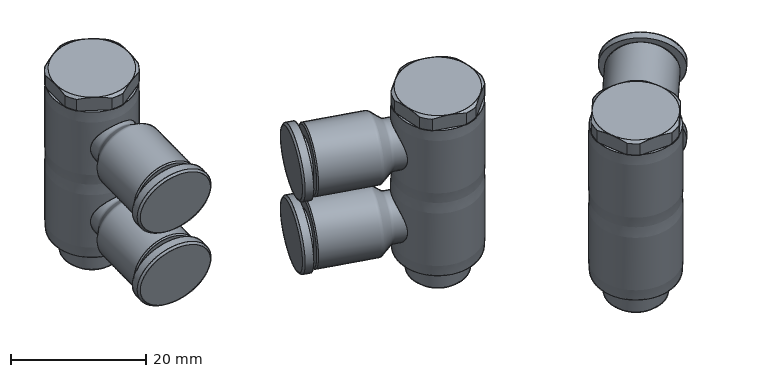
import cadquery as cq
import math

plug_radius = 4.85
plug_end_radius = 4.1
plug_chamfer_top = 0.8
plug_thread_top = 3.25
plug_neck_bottom = 3.9
plug_neck_radius = 4.12
plug_flare = 0.22
plug_flare_height = 0.47

body_radius = 7.0
body_end_radius = 6.9
body_bottom = 5.0
body_height = 14.45
body_taper_height = 2.0
body_count = 2
body_top = body_bottom + body_count * body_height

cap_top = 36.5
cap_across_flats = 13.0
cap_face_radius = 6.45
cap_chamfer_height = 0.3

port_neck_radius = 4.0
port_cone_start = 7.92
port_cone_end = 9.9
port_cone_fillet = 0.85
port_radius = 5.62
port_end = 20.05
port_end_chamfer = 0.22
stem_radius = 3.72

button_start = 20.8
button_end = 22.45
button_width = 13.05
button_height = 11.1
button_chamfer = 0.33


def make_plug():
    """Turned thread end with a relief neck flaring into the body."""
    flare_bottom = body_bottom - plug_flare_height
    profile = (
        cq.Workplane("XZ")
        .lineTo(plug_end_radius, 0)
        .lineTo(plug_radius, plug_chamfer_top)
        .lineTo(plug_radius, plug_thread_top)
        .lineTo(plug_neck_radius, plug_neck_bottom)
        .lineTo(plug_neck_radius, flare_bottom)
        .lineTo(plug_neck_radius + plug_flare, body_bottom)
        .lineTo(0, body_bottom)
        .close()
    )
    return profile.revolve(360, (0, 0, 0), (0, 1, 0))


def make_body(bottom):
    """Round body, slightly tapered towards both ends."""
    top = bottom + body_height
    profile = (
        cq.Workplane("XZ")
        .moveTo(0, bottom)
        .lineTo(body_end_radius, bottom)
        .lineTo(body_radius, bottom + body_taper_height)
        .lineTo(body_radius, top - body_taper_height)
        .lineTo(body_end_radius, top)
        .lineTo(0, top)
        .close()
    )
    return profile.revolve(360, (0, 0, 0), (0, 1, 0))


def make_cap():
    """Hexagon with two flats facing +Y and -Y, its corners turned to the body radius."""
    corner_diameter = cap_across_flats / math.cos(math.radians(30))
    hexagon = (
        cq.Workplane("XY", origin=(0, 0, body_top))
        .polygon(6, corner_diameter)
        .extrude(cap_top - body_top)
    )
    turned_blank = (
        cq.Workplane("XZ")
        .moveTo(0, body_top)
        .lineTo(body_radius, body_top)
        .lineTo(body_radius, cap_top - cap_chamfer_height)
        .lineTo(cap_face_radius, cap_top)
        .lineTo(0, cap_top)
        .close()
        .revolve(360, (0, 0, 0), (0, 1, 0))
    )
    return hexagon.intersect(turned_blank)


def make_port_shell():
    """Turned port: neck, rounded cone, tube socket and the thin stem of the button."""
    cone_angle = math.atan2(port_radius - port_neck_radius, port_cone_end - port_cone_start)
    tangent = port_cone_fillet * math.tan(cone_angle / 2)
    along = tangent * math.cos(cone_angle)
    across = tangent * math.sin(cone_angle)
    profile = (
        cq.Workplane("XZ")
        .lineTo(0, port_neck_radius)
        .lineTo(port_cone_start - tangent, port_neck_radius)
        .tangentArcPoint((port_cone_start + along, port_neck_radius + across), relative=False)
        .lineTo(port_cone_end - along, port_radius - across)
        .tangentArcPoint((port_cone_end + tangent, port_radius), relative=False)
        .lineTo(port_end - port_end_chamfer, port_radius)
        .lineTo(port_end, port_radius - port_end_chamfer)
        .lineTo(port_end, stem_radius)
        .lineTo(button_start, stem_radius)
        .lineTo(button_start, 0)
        .close()
    )
    return profile.revolve(360, (0, 0, 0), (1, 0, 0))


def make_button():
    """Elliptical plate, wider along Y, with its outer rim chamfered."""
    return (
        cq.Workplane("YZ", origin=(button_start, 0, 0))
        .ellipse(button_width / 2, button_height / 2)
        .extrude(button_end - button_start)
        .faces(">X")
        .edges()
        .chamfer(button_chamfer)
    )


port = make_port_shell().union(make_button())

result = make_plug()
for index in range(body_count):
    bottom = body_bottom + index * body_height
    port_axis = bottom + body_height / 2
    result = result.union(make_body(bottom))
    result = result.union(port.translate((0, 0, port_axis)))
result = result.union(make_cap())